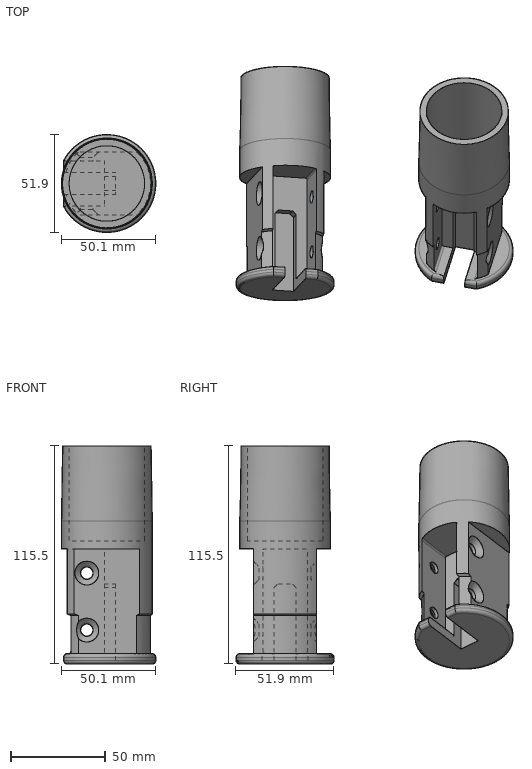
import cadquery as cq

total_height = 115.5
flange_height = 5.5
neck_top = 25.8
shank_bottom = 26.6
collar_bottom = 61.0
taper_start = 75.7

collar_radius = 48.2 / 2
rim_radius = 23.5
bore_diameter = 40.0
socket_wall = collar_radius - bore_diameter / 2
bore_floor = collar_bottom + socket_wall

shank_radius = collar_radius
neck_radius = 22.8
neck_offset = 0.3
shank_width = 33.5

flange_radius = 51.9 / 2
flange_flat_x = -22.9
flange_fillet = 2.0

pocket_width = 23.6
pocket_back_x = -1.2
pocket_bottom_fillet = 1.3
pocket_top_fillet = 0.8
groove_width = 11.5
groove_top = 42.5
groove_back_x = 4.6
groove_chamfer = 2.0

hole_x = -10.6
hole_heights = (18.0, 48.2)
hole_diameter = 6.5
countersink_diameter = 12.6
countersink_depth = (countersink_diameter - hole_diameter) / 2

open_side_x = -1.2 * flange_radius


def make_flange():
    """Disc with one side cut flat and both rims rounded."""
    disc = cq.Workplane("XY").circle(flange_radius).extrude(flange_height)
    length = flange_radius - flange_flat_x
    keep = cq.Workplane("XY").box(
        length, 2 * flange_radius, flange_height, centered=(False, True, False)
    ).translate((flange_flat_x, 0, 0))
    return disc.intersect(keep).faces("|Z").edges().fillet(flange_fillet)


def make_shank():
    """Neck, conical step and shank, cut to two parallel flats."""
    neck = cq.Workplane("XY").center(neck_offset, 0).circle(neck_radius).extrude(neck_top)
    step = (
        cq.Workplane("XY", origin=(0, 0, neck_top))
        .center(neck_offset, 0).circle(neck_radius)
        .workplane(offset=shank_bottom - neck_top)
        .center(-neck_offset, 0).circle(shank_radius)
        .loft(ruled=True)
    )
    shank = (
        cq.Workplane("XY", origin=(0, 0, shank_bottom))
        .circle(shank_radius).extrude(collar_bottom - shank_bottom)
    )
    keep = cq.Workplane("XY").box(
        3 * shank_radius, shank_width, collar_bottom, centered=(True, True, False)
    )
    base = flange_height / 2
    return neck.union(step).union(shank).intersect(keep.translate((0, 0, base)))


def make_socket():
    """Straight collar below a slightly tapered tube, bored from the top."""
    profile = [
        (0, collar_bottom),
        (collar_radius, collar_bottom),
        (collar_radius, taper_start),
        (rim_radius, total_height),
        (0, total_height),
    ]
    socket = cq.Workplane("XZ").polyline(profile).close().revolve(360, (0, 0), (0, 1))
    bore = (
        cq.Workplane("XY", origin=(0, 0, bore_floor))
        .circle(bore_diameter / 2).extrude(total_height - bore_floor)
    )
    return socket.cut(bore)


def side_cutter(width, bottom, top, back_x):
    """Block running from outside the open side to back_x."""
    return cq.Workplane("XY").box(
        back_x - open_side_x, width, top - bottom, centered=(False, True, False)
    ).translate((open_side_x, 0, bottom))


def make_pocket():
    pocket = side_cutter(pocket_width, flange_height, collar_bottom, pocket_back_x)
    pocket = pocket.edges("|X and <Z").fillet(pocket_bottom_fillet)
    return pocket.edges("|X and >Z").fillet(pocket_top_fillet)


def make_groove():
    groove = side_cutter(groove_width, 0, groove_top, groove_back_x)
    return groove.edges("|X and >Z").chamfer(groove_chamfer)


def make_screw_hole(height):
    """Through hole along Y with a countersink on each outer flat."""
    half_width = shank_width / 2
    hole = (
        cq.Workplane("XZ", origin=(hole_x, half_width, height))
        .circle(hole_diameter / 2).extrude(shank_width)
    )
    for side in (-1, 1):
        sink = cq.Solid.makeCone(
            countersink_diameter / 2, hole_diameter / 2, countersink_depth,
            cq.Vector(hole_x, side * half_width, height), cq.Vector(0, -side, 0),
        )
        hole = hole.union(cq.Workplane(obj=sink))
    return hole


result = make_shank().union(make_flange()).union(make_socket())
result = result.cut(make_pocket()).cut(make_groove())
for hole_height in hole_heights:
    result = result.cut(make_screw_hole(hole_height))